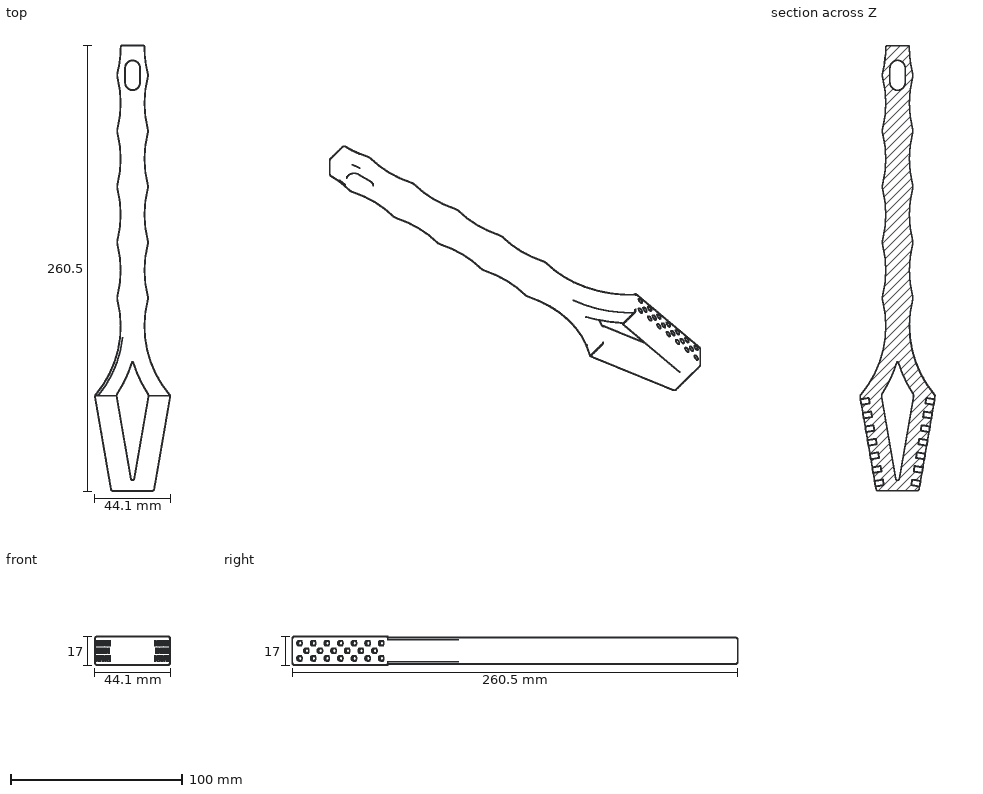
import cadquery as cq
import math

length = 260.5
head_length = 55.8
shoulder_width = 44.3
tip_width = 25.0
head_thickness = 17.0
handle_thickness = 15.6

edge_radius = 1.5
tip_corner_radius = edge_radius
shoulder_corner_radius = 1.8
rear_corner_radius = 1.0
opening_edge_radius = 0.65

waist_width = 14.0
ridge_width = 18.5
ridge_count = 5
ridge_pitch = 32.5
rear_ridge_inset = 17.5
ridge_radius = 5.0
neck_radius = 62.0

slot_length = 17.2
slot_width = 8.5

wall_behind_shoulder = 10.0
window_width = 18.8
window_front = 6.5
window_front_radius = 0.8
window_side_radius = 2.5
window_apex_radius = 0.3

grip_hole_diameter = 3.0
grip_hole_depth = 5.0
grip_hole_pitch = 8.0
grip_hole_center_y = 28.1
grip_row_spacing = 4.5
grip_row_counts = (7, 6, 7)

half_waist = waist_width / 2
half_ridge = ridge_width / 2
half_shoulder = shoulder_width / 2
half_tip = tip_width / 2
side_slope = (half_shoulder - half_tip) / head_length
rear_ridge_y = length - rear_ridge_inset
ridge_ys = [rear_ridge_y - i * ridge_pitch for i in range(ridge_count)]
front_ridge_y = ridge_ys[-1]
scallop_depth = half_ridge - half_waist
scallop_radius = ((ridge_pitch / 2) ** 2 + scallop_depth**2) / (2 * scallop_depth)

neck_run_x = half_shoulder - half_ridge
neck_run_y = front_ridge_y - head_length
neck_chord = math.hypot(neck_run_x, neck_run_y)
neck_center_offset = math.sqrt(neck_radius**2 - (neck_chord / 2) ** 2)
neck_center_x = (half_shoulder + half_ridge) / 2 + neck_center_offset * neck_run_y / neck_chord
neck_center_y = (head_length + front_ridge_y) / 2 + neck_center_offset * neck_run_x / neck_chord


def slab(outline, thickness):
    """Close an outline and extrude it evenly about the mid-plane."""
    return outline.close().extrude(thickness / 2, both=True)


def make_window():
    """Opening with sides parallel to the neck arcs and to the tapered head sides."""
    half_window = window_width / 2
    arc_radius = neck_radius + wall_behind_shoulder
    apex_y = neck_center_y - math.sqrt(arc_radius**2 - neck_center_x**2)
    side_y = neck_center_y - math.sqrt(arc_radius**2 - (neck_center_x - half_window) ** 2)
    half_front = half_window - (side_y - window_front) * side_slope
    outline = (
        cq.Workplane("XY")
        .moveTo(-half_front, window_front)
        .lineTo(half_front, window_front)
        .lineTo(half_window, side_y)
        .radiusArc((0, apex_y), arc_radius)
        .radiusArc((-half_window, side_y), arc_radius)
    )
    window = slab(outline, head_thickness)
    window = window.edges("|Z and <Y").fillet(window_front_radius)
    window = window.edges("|Z and >Y").fillet(window_apex_radius)
    return window.edges("|Z and (<X or >X)").fillet(window_side_radius)


def make_slot():
    """Round-ended slot along the handle."""
    slot = cq.Workplane("XY").center(0, rear_ridge_y).slot2D(slot_length, slot_width, 90)
    return slot.extrude(head_thickness / 2, both=True)


def make_blank(thickness):
    """The full plan shape at one thickness, with its upright corners rounded."""
    outline = (
        cq.Workplane("XY")
        .lineTo(half_tip, 0)
        .lineTo(half_shoulder, head_length)
        .radiusArc((half_ridge, front_ridge_y), neck_radius)
    )
    for y in reversed(ridge_ys[:-1]):
        outline = outline.radiusArc((half_ridge, y), scallop_radius)
    outline = outline.radiusArc((half_waist, length), scallop_radius).lineTo(0, length)
    half = slab(outline, thickness)
    blank = half.union(half.mirror("YZ")).clean()

    corners = [
        (0, tip_corner_radius),
        (head_length, shoulder_corner_radius),
        (length, rear_corner_radius),
    ]
    corners += [(y, ridge_radius) for y in ridge_ys]
    reach = 2.5
    for y, radius in corners:
        near_corner = cq.selectors.BoxSelector(
            (-shoulder_width, y - reach, -thickness), (shoulder_width, y + reach, thickness)
        )
        blank = blank.edges("|Z").edges(near_corner).fillet(radius)
    return blank


def make_body(thickness):
    """A blank with rounded outer edges, pierced by the two openings with softened rims."""
    body = make_blank(thickness).faces("|Z").edges().fillet(edge_radius)
    body = body.cut(make_window()).cut(make_slot())
    rims = [
        edge
        for face in body.faces("|Z").vals()
        for wire in face.innerWires()
        for edge in wire.Edges()
    ]
    return body.newObject(rims).fillet(opening_edge_radius)


def make_grip_holes():
    """Three rows of blind round holes, square to each sloped side."""
    places = []
    for row, count in enumerate(grip_row_counts, start=-1):
        for i in range(count):
            along = (i - (count - 1) / 2) * grip_hole_pitch
            places.append((along, row * grip_row_spacing))
    side = cq.Plane(
        origin=(half_tip + side_slope * grip_hole_center_y, grip_hole_center_y, 0),
        xDir=(side_slope, 1, 0),
        normal=(1, -side_slope, 0),
    )
    holes = cq.Workplane(side).pushPoints(places).circle(grip_hole_diameter / 2)
    holes = holes.extrude(-grip_hole_depth)
    return holes.union(holes.mirror("YZ"))


head_space = cq.Workplane("XY").box(length, 2 * head_length, length)
head = make_body(head_thickness).intersect(head_space)
handle = make_body(handle_thickness).cut(head_space)
result = head.union(handle).cut(make_grip_holes())